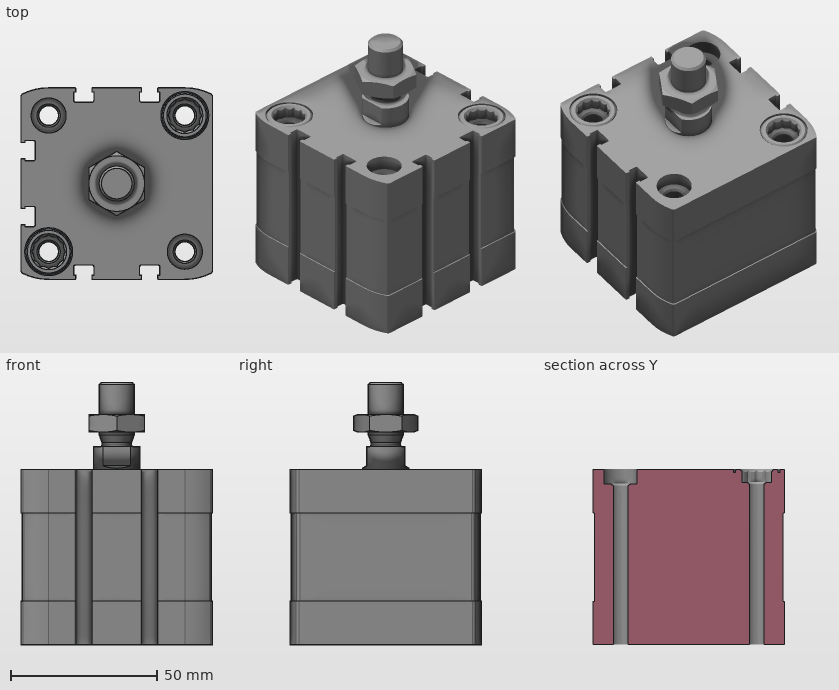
import cadquery as cq
import math

cap_width = 65.5
barrel_inset = 0.4
housing_height = 60.0
cap_height = 15.0
corner_arc_radius = 20.0
corner_edge_fillet = 1.2

screw_offset = 46.5 / 2

slot_offset = 11.25
slot_mouth_width = 5.5
slot_inner_width = 6.8
slot_lip_depth = 1.5
slot_depth = 4.9
slot_corner_fillet = 0.5
slot_lip_fillet = 0.3

through_hole_diameter = 6.65
countersink_diameter = 8.0
counterbore_diameter = 12.0
counterbore_depth = 5.0

groove_outer_diameter = 16.4
groove_inner_diameter = 15.5
groove_inner_chamfer = 0.45
groove_depth = 1.0
socket_across_flats = 10.0
socket_bore_diameter = 10.65
socket_depth = 4.4
socket_lead_in_diameter = 12.3
socket_lead_in_depth = 1.3
socket_lead_in_end_diameter = 10.3

rod_diameter = 16.0
rod_shoulder_height = 7.7
thread_diameter = 12.0
thread_length = 22.0
thread_chamfer = 0.8
rod_height = rod_shoulder_height + thread_length
neck_diameter = 10.2
neck_fillet = 0.6
neck_top_height = 9.2
thread_start_height = 11.7
flats_across = 13.0
flats_bottom_height = 1.2
flats_run_out_angle = 30.0

nut_across_flats = 19.0
nut_thickness = 6.0
nut_bottom_height = 12.7
nut_chamfer_angle = 20.0


def housing_blank(width, height):
    """Square prism whose arced ends fall away on the +Y and -Y sides only."""
    half = width / 2
    arc_center_y = cap_width / 2 - corner_arc_radius
    arc_radius = half - arc_center_y

    def arc_point(x):
        rise = math.sqrt(arc_radius**2 - (x - screw_offset) ** 2)
        return x, arc_center_y + rise

    side_x, side_y = arc_point(half)
    mid_x, mid_y = arc_point((screw_offset + half) / 2)
    return (
        cq.Workplane("XY")
        .moveTo(-screw_offset, half)
        .lineTo(screw_offset, half)
        .threePointArc((mid_x, mid_y), (side_x, side_y))
        .lineTo(side_x, -side_y)
        .threePointArc((mid_x, -mid_y), (screw_offset, -half))
        .lineTo(-screw_offset, -half)
        .threePointArc((-mid_x, -mid_y), (-side_x, -side_y))
        .lineTo(-side_x, side_y)
        .threePointArc((-mid_x, mid_y), (-screw_offset, half))
        .close()
        .extrude(height)
        .faces("<X or >X")
        .edges("|Z")
        .fillet(corner_edge_fillet)
    )


def slot_cutter(width, height):
    """T-slots open to the -Y side of a section of the given width, mouth edges rounded."""
    face_y = -width / 2
    lip_y = -cap_width / 2 + slot_lip_depth
    floor_y = -cap_width / 2 + slot_depth
    mouth = slot_mouth_width / 2
    flare = mouth + slot_lip_fillet
    round_mid = slot_lip_fillet * (1 - math.sqrt(0.5))
    inner = slot_inner_width / 2
    mouth_cut = (
        cq.Workplane("XY")
        .moveTo(-flare, face_y)
        .threePointArc((-mouth - round_mid, face_y + round_mid), (-mouth, face_y + slot_lip_fillet))
        .lineTo(-mouth, lip_y)
        .lineTo(mouth, lip_y)
        .lineTo(mouth, face_y + slot_lip_fillet)
        .threePointArc((mouth + round_mid, face_y + round_mid), (flare, face_y))
        .close()
        .extrude(height)
    )
    inner_cut = (
        cq.Workplane("XY")
        .moveTo(-inner, lip_y)
        .lineTo(inner, lip_y)
        .lineTo(inner, floor_y)
        .lineTo(-inner, floor_y)
        .close()
        .extrude(height)
        .edges("|Z and >Y")
        .fillet(slot_corner_fillet)
    )
    return mouth_cut.union(inner_cut)


def housing_section(width, bottom, height):
    """One length of housing with pairs of slots on the -Y, -X and +Y sides."""
    section = housing_blank(width, height)
    cutter = slot_cutter(width, height)
    for side_angle in (0, -90, 180):
        for x in (-slot_offset, slot_offset):
            slot = cutter.translate((x, 0, 0)).rotate((0, 0, 0), (0, 0, 1), side_angle)
            section = section.cut(slot)
    return section.translate((0, 0, bottom))


def cone(bottom_diameter, top_diameter, bottom, height):
    """Truncated cone on the Z axis, starting at the given height."""
    return cq.Workplane(
        cq.Solid.makeCone(bottom_diameter / 2, top_diameter / 2, height, cq.Vector(0, 0, bottom))
    )


def cylinder(diameter, bottom, top):
    """Cylinder on the Z axis between two heights."""
    return cq.Workplane("XY").workplane(offset=bottom).circle(diameter / 2).extrude(top - bottom)


def screw_hole(floor):
    """Through hole with a 45 degree countersink below the given floor height."""
    sink_depth = (countersink_diameter - through_hole_diameter) / 2
    hole = cylinder(through_hole_diameter, 0, floor)
    sink = cone(through_hole_diameter, countersink_diameter, floor - sink_depth, sink_depth)
    return hole.union(sink)


def counterbored_hole():
    """Plain counterbored through hole."""
    floor = housing_height - counterbore_depth
    return screw_hole(floor).union(cylinder(counterbore_diameter, floor, housing_height))


def socket_hole():
    """Through hole below a twelve-point socket with a conical lead-in."""
    floor = housing_height - socket_depth
    cutter = screw_hole(floor).union(cylinder(socket_bore_diameter, floor, housing_height))
    hexagon = (
        cq.Workplane("XY")
        .workplane(offset=floor)
        .polygon(6, socket_across_flats, circumscribed=True)
        .extrude(socket_depth)
    )
    for turn in (0, 30):
        cutter = cutter.union(hexagon.rotate((0, 0, 0), (0, 0, 1), turn))
    lead_in = cone(
        socket_lead_in_end_diameter,
        socket_lead_in_diameter,
        housing_height - socket_lead_in_depth,
        socket_lead_in_depth,
    )
    return cutter.union(lead_in)


def ring_groove():
    """Ring groove whose inner wall is chamfered at 45 degrees along its top edge."""
    bottom = housing_height - groove_depth
    chamfer_bottom = housing_height - groove_inner_chamfer
    chamfered_diameter = groove_inner_diameter - 2 * groove_inner_chamfer
    disc = cylinder(groove_outer_diameter, bottom, housing_height)
    island = cylinder(groove_inner_diameter, bottom, chamfer_bottom)
    island_top = cone(groove_inner_diameter, chamfered_diameter, chamfer_bottom, groove_inner_chamfer)
    return disc.cut(island).cut(island_top)


def make_housing():
    barrel_height = housing_height - 2 * cap_height
    barrel_width = cap_width - 2 * barrel_inset
    housing = (
        housing_section(cap_width, 0, cap_height)
        .union(housing_section(barrel_width, cap_height, barrel_height))
        .union(housing_section(cap_width, cap_height + barrel_height, cap_height))
    )
    for side in (-1, 1):
        counterbored_place = (side * screw_offset, -side * screw_offset, 0)
        socket_place = (side * screw_offset, side * screw_offset, 0)
        housing = housing.cut(counterbored_hole().translate(counterbored_place))
        housing = housing.cut(socket_hole().translate(socket_place))
        housing = housing.cut(ring_groove().translate(socket_place))
    return housing


def flat_cutter():
    """Removes the +Y side of the rod above a sloping run-out."""
    flat_y = flats_across / 2
    outer_y = rod_diameter / 2
    run_out_drop = (outer_y - flat_y) * math.tan(math.radians(flats_run_out_angle))
    return (
        cq.Workplane("YZ")
        .moveTo(flat_y, rod_shoulder_height)
        .lineTo(flat_y, flats_bottom_height)
        .lineTo(outer_y, flats_bottom_height - run_out_drop)
        .lineTo(outer_y, rod_shoulder_height)
        .close()
        .extrude(rod_diameter / 2, both=True)
    )


def make_rod():
    """Turned rod with two wrench flats, an undercut neck and a threaded end."""
    rod_radius = rod_diameter / 2
    neck_radius = neck_diameter / 2
    thread_radius = thread_diameter / 2
    round_mid = neck_fillet * (1 - math.sqrt(0.5))
    rod = (
        cq.Workplane("XZ")
        .moveTo(0, 0)
        .lineTo(rod_radius, 0)
        .lineTo(rod_radius, rod_shoulder_height)
        .lineTo(neck_radius + neck_fillet, rod_shoulder_height)
        .threePointArc(
            (neck_radius + round_mid, rod_shoulder_height + round_mid),
            (neck_radius, rod_shoulder_height + neck_fillet),
        )
        .lineTo(neck_radius, neck_top_height)
        .lineTo(thread_radius, thread_start_height)
        .lineTo(thread_radius, rod_height - thread_chamfer)
        .lineTo(thread_radius - thread_chamfer, rod_height)
        .lineTo(0, rod_height)
        .close()
        .revolve(360, (0, 0), (0, 1))
    )
    for turn in (0, 180):
        rod = rod.cut(flat_cutter().rotate((0, 0, 0), (0, 0, 1), turn))
    return rod.translate((0, 0, housing_height))


def make_nut():
    """Hex nut with corners on the Y axis, chamfered at both ends."""
    corner_radius = nut_across_flats / math.sqrt(3)
    face_radius = nut_across_flats / 2
    chamfer_height = (corner_radius - face_radius) * math.tan(math.radians(nut_chamfer_angle))
    chamfer_envelope = (
        cq.Workplane("XZ")
        .moveTo(0, 0)
        .lineTo(face_radius, 0)
        .lineTo(corner_radius, chamfer_height)
        .lineTo(corner_radius, nut_thickness - chamfer_height)
        .lineTo(face_radius, nut_thickness)
        .lineTo(0, nut_thickness)
        .close()
        .revolve(360, (0, 0), (0, 1))
    )
    return (
        cq.Workplane("XY")
        .polygon(6, 2 * corner_radius)
        .extrude(nut_thickness)
        .rotate((0, 0, 0), (0, 0, 1), 30)
        .intersect(chamfer_envelope)
        .cut(cylinder(thread_diameter, 0, nut_thickness))
        .translate((0, 0, housing_height + nut_bottom_height))
    )


housing = make_housing()
rod = make_rod()
nut = make_nut()

result = cq.Compound.makeCompound([housing.val(), rod.val(), nut.val()])